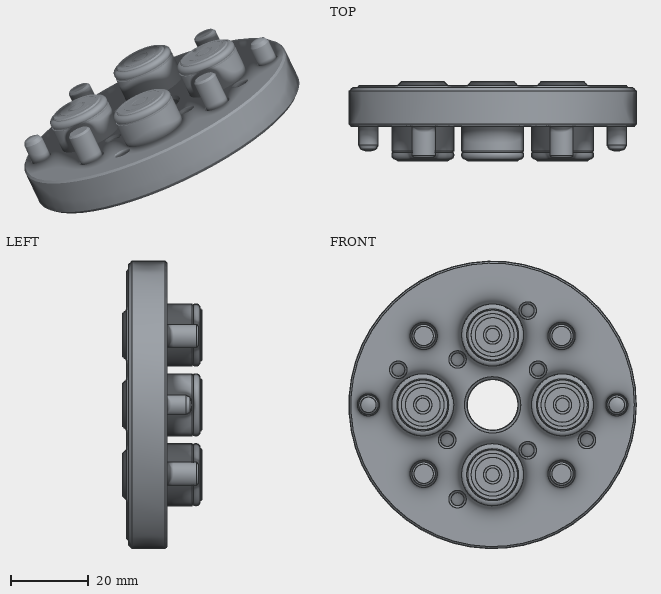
import cadquery as cq
import math


plate_radius = 37.0
plate_thickness = 10.0
front_chamfer = 0.5
back_chamfer = 0.95
bore_diameter = 13.0
bore_chamfer = 0.75
flare_start = 4.65

pad_radius = 34.85
pad_height = 0.45

coupling_offset = 18.0
coupling_diameter = 16.0
coupling_body_length = 6.4
neck_diameter = 15.55
seal_section_radius = 1.1
seal_front = 8.5
face_diameter = 13.4
face_chamfer = 0.3
coupling_length = 8.95
ring_grooves = [(11.0, 8.95), (4.7, 3.5)]
ring_groove_depth = 0.1
button_diameter = 13.0
button_top_diameter = 11.0
button_height = 1.0

screw_diameter = 3.3
screw_chamfer = 0.6
screw_depth = 0.9
screw_offset_along = 9.0
screw_offset_across = 6.3

guide_circle_radius = 25.1
guide_diameter = 6.0
guide_seat_diameter = 7.0
guide_length = 8.1
guide_chamfer = 0.5

dowel_offset = 32.0
dowel_diameter = 5.0
dowel_seat_diameter = 5.7
dowel_shank_length = 4.8
dowel_taper_length = 1.0
dowel_tip_diameter = 4.0
dowel_dome_height = 0.5

back_y = plate_thickness + pad_height
coupling_spots = [
    (coupling_offset * math.cos(quarter * math.pi / 2), coupling_offset * math.sin(quarter * math.pi / 2))
    for quarter in range(4)
]
guide_spots = [
    (guide_circle_radius * math.cos(angle), guide_circle_radius * math.sin(angle))
    for angle in [math.pi / 4 + quarter * math.pi / 2 for quarter in range(4)]
]
dowel_spots = [(-dowel_offset, 0), (dowel_offset, 0)]


def turned(points):
    """Solid of revolution about Y from (radius, y) outline points."""
    return cq.Workplane("XY").polyline(points).close().revolve(360, (0, 0, 0), (0, 1, 0))


def copies(shape, spots):
    """Copies of a shape moved to each (x, z) spot, as one workplane stack."""
    placed = [shape.val().moved(cq.Location(cq.Vector(x, 0, z))) for x, z in spots]
    return cq.Workplane("XY").newObject(placed).combine()


def make_plate():
    bore_radius = bore_diameter / 2
    return turned([
        (bore_radius + bore_chamfer, 0),
        (plate_radius - front_chamfer, 0),
        (plate_radius, front_chamfer),
        (plate_radius, plate_thickness - back_chamfer),
        (plate_radius - back_chamfer, plate_thickness),
        (pad_radius, plate_thickness),
        (pad_radius - pad_height, back_y),
        (bore_radius + back_y - flare_start, back_y),
        (bore_radius, flare_start),
        (bore_radius, bore_chamfer),
    ])


def make_coupling():
    outer = coupling_diameter / 2
    neck = neck_diameter / 2
    face = face_diameter / 2
    seal_centre_radius = outer - seal_section_radius
    seal_centre_y = seal_section_radius - seal_front
    seal_start_y = seal_centre_y + math.sqrt(seal_section_radius ** 2 - (neck - seal_centre_radius) ** 2)
    profile = (
        cq.Workplane("XY")
        .moveTo(0, 0)
        .lineTo(outer, 0)
        .lineTo(outer, -coupling_body_length)
        .lineTo(neck, -coupling_body_length)
        .lineTo(neck, seal_start_y)
        .threePointArc((outer, seal_centre_y), (seal_centre_radius, -seal_front))
        .lineTo(face, -seal_front)
        .lineTo(face, -coupling_length + face_chamfer)
        .lineTo(face - face_chamfer, -coupling_length)
        .lineTo(0, -coupling_length)
        .close()
    )
    coupling = profile.revolve(360, (0, 0, 0), (0, 1, 0))
    for groove_outer, groove_inner in ring_grooves:
        groove = turned([
            (groove_inner / 2, -coupling_length),
            (groove_outer / 2, -coupling_length),
            (groove_outer / 2, -coupling_length + ring_groove_depth),
            (groove_inner / 2, -coupling_length + ring_groove_depth),
        ])
        coupling = coupling.cut(groove)
    return coupling


def make_button():
    button_y = back_y + button_height
    return turned([
        (0, back_y),
        (button_diameter / 2, back_y),
        (button_top_diameter / 2, button_y),
        (0, button_y),
    ])


result = make_plate()
result = result.union(copies(make_coupling(), coupling_spots))
result = result.union(copies(make_button(), coupling_spots))


def make_screw_hole():
    radius = screw_diameter / 2
    return turned([(0, 0), (radius + screw_chamfer, 0), (radius, screw_chamfer), (radius, screw_depth),
                   (0, screw_depth)])


def screw_spots():
    """Two opposite spots beside each coupling, turned a quarter on the X-axis couplings."""
    spots = []
    for x, z in coupling_spots:
        on_x_axis = abs(x) > abs(z)
        for side in (-1, 1):
            if on_x_axis:
                spots.append((x - side * screw_offset_across, z + side * screw_offset_along))
            else:
                spots.append((x + side * screw_offset_along, z + side * screw_offset_across))
    return spots


def make_seat(seat_diameter, pin_diameter):
    """Countersunk ring in the plate around the foot of a pin."""
    depth = (seat_diameter - pin_diameter) / 2
    return turned([(pin_diameter / 2, 0), (seat_diameter / 2, 0), (pin_diameter / 2, depth)])


def make_guide_pin():
    radius = guide_diameter / 2
    return turned([
        (0, 0),
        (radius, 0),
        (radius, -guide_length + guide_chamfer),
        (radius - guide_chamfer, -guide_length),
        (0, -guide_length),
    ])


def make_dowel():
    radius = dowel_diameter / 2
    tip_radius = dowel_tip_diameter / 2
    taper_end = dowel_shank_length + dowel_taper_length
    dome_radius = (tip_radius ** 2 + dowel_dome_height ** 2) / (2 * dowel_dome_height)
    dome_centre = -taper_end - dowel_dome_height + dome_radius
    half_sweep = math.asin(tip_radius / dome_radius) / 2
    dome_middle = (dome_radius * math.sin(half_sweep), dome_centre - dome_radius * math.cos(half_sweep))
    profile = (
        cq.Workplane("XY")
        .moveTo(0, 0)
        .lineTo(radius, 0)
        .lineTo(radius, -dowel_shank_length)
        .lineTo(tip_radius, -taper_end)
        .threePointArc(dome_middle, (0, -taper_end - dowel_dome_height))
        .close()
    )
    return profile.revolve(360, (0, 0, 0), (0, 1, 0))


result = result.cut(copies(make_screw_hole(), screw_spots()))
result = result.cut(copies(make_seat(guide_seat_diameter, guide_diameter), guide_spots))
result = result.cut(copies(make_seat(dowel_seat_diameter, dowel_diameter), dowel_spots))
result = result.union(copies(make_guide_pin(), guide_spots))
result = result.union(copies(make_dowel(), dowel_spots))